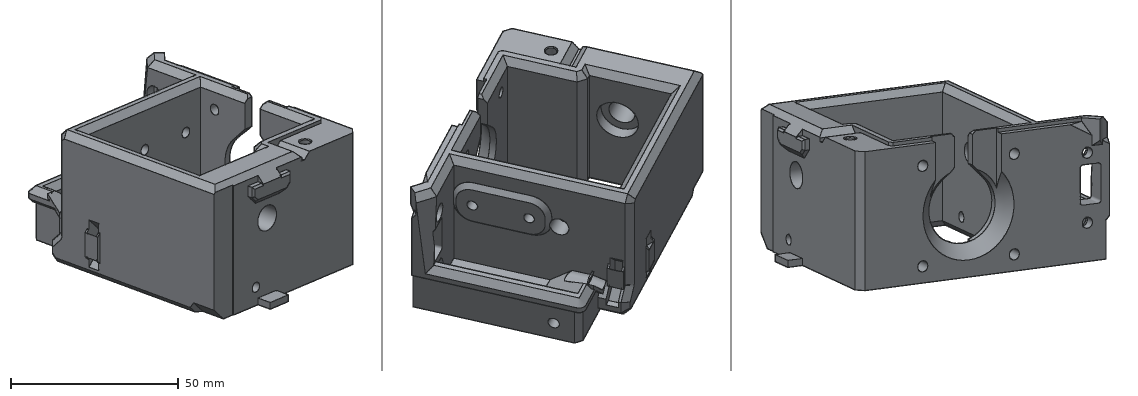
import cadquery as cq
import math

edge = 2.15
side = 85.0
depth = 62.7
height = 44.0
side_bevel = 1.9
ledge_z = 42.9

wall_x = 20.4
open_left = 26.5
open_right = 73.1
open_right_rear = 69.0
open_front = 6.0
open_back = 56.45
step_y = 31.9
step_bevel = 2.5

block_x = 1.2
block_y = 9.5
rim_y = 8.2
rim_bottom = 12.1
rim_top = 17.2
rim_set_back = block_x
corner_bevel = 2.0
rim_corner_radius = 2.2
cavity_x = 6.2
floor_z = 5.5
ramp_foot_y = 26.0
ramp_head_y = 11.4
slope_start_x = 9.0
slope_lip = 1.45

trough_radius = 2.4
trough_left_x = 17.0
trough_flat = 1.5
trough_bend_y = 12.6
trough_fall = 13.0

foot_x = 16.6
foot_depth = 12.0
foot_shoulder = 10.0

motor_x = 47.75
motor_z = 20.7
motor_pitch = 31.0
motor_screw = 3.4
motor_bore = 22.4
motor_recess_y = 59.5
motor_groove_y = 58.1
motor_cone_y = 58.5
motor_slot = 6.2
slot_bevel = 1.0

ledge_y = 60.45
block_left = open_right
ledge_corner = 1.0

notch_top_front = 36.1
notch_floor_front = 38.2
notch_floor_back = 39.4

shaft_y = 23.0
shaft_z = 27.0
shaft_hole = 6.0
bearing_seat = 13.2
bearing_depth = 4.0
bearing_hole = 8.2

overlap = 1.0


def box(x0, x1, y0, y1, z0, z1):
    return cq.Workplane("XY").box(x1 - x0, y1 - y0, z1 - z0, centered=False).translate((x0, y0, z0))


def prism_x(points, x0, x1):
    """Prism along X from (Y, Z) points."""
    return cq.Workplane("YZ").polyline(points).close().extrude(x1 - x0).translate((x0, 0, 0))


def prism_y(points, y0, y1):
    """Prism along Y from (X, Z) points."""
    return cq.Workplane("XZ").polyline(points).close().extrude(y0 - y1).translate((0, y0, 0))


def prism_z(points, z0, z1):
    """Prism along Z from (X, Y) points."""
    return cq.Workplane("XY").polyline(points).close().extrude(z1 - z0).translate((0, 0, z0))


def rod_x(diameter, y, z, x0, x1):
    return cq.Workplane("YZ").center(y, z).circle(diameter / 2).extrude(x1 - x0).translate((x0, 0, 0))


def rod_y(diameter, x, z, y0, y1):
    return cq.Workplane("XZ").center(x, z).circle(diameter / 2).extrude(y0 - y1).translate((0, y0, 0))


def frame_outline(with_foot):
    """(X, Z) outline of the frame; the right end overhangs and is trimmed later."""
    overhang = side + 2 * edge
    right = [(overhang, 0), (overhang, height), (wall_x + edge, height), (wall_x, height - edge)]
    if not with_foot:
        return right + [(wall_x, 0)]
    foot_z = foot_shoulder - (wall_x - foot_x)
    foot = [(wall_x, foot_shoulder), (foot_x, foot_z), (foot_x, edge), (foot_x + edge, 0)]
    return right + foot


def frame():
    body = prism_y(frame_outline(False), foot_depth, depth)
    front = prism_y(frame_outline(True), edge, foot_depth)
    nose = (
        cq.Workplane("XZ", origin=(0, edge, 0))
        .polyline(frame_outline(True)).close().extrude(edge, taper=45)
    )
    trimmed = box(0, side, 0, depth, 0, height)
    body = body.union(front).union(nose).intersect(trimmed)
    return body.cut(top_right_chamfer()).edges("|Z and >X and >Y").chamfer(edge)


def top_right_chamfer():
    """Chamfer along the right side, ending at the groove before the rear block."""
    corner = [(side, height - side_bevel), (side, height), (side - side_bevel, height)]
    return prism_y(corner, 0, notch_floor_front)


def opening_outline(grow):
    """(X, Y) outline of the opening, with every side moved outwards by grow."""
    bevel = step_bevel - (2 - math.sqrt(2)) * grow
    step = step_y + grow
    rear = open_right_rear + grow
    return [
        (open_left - grow, open_front - grow),
        (open_right + grow, open_front - grow),
        (open_right + grow, step),
        (rear + bevel, step),
        (rear, step + bevel),
        (rear, open_back + grow),
        (open_left - grow, open_back + grow),
    ]


def opening_flare(z, lower_grow, upper_grow):
    """Chamfer around one end of the opening."""
    lower = cq.Workplane("XY", origin=(0, 0, z)).polyline(opening_outline(lower_grow)).close()
    upper = lower.workplane(offset=edge).polyline(opening_outline(upper_grow)).close()
    return upper.loft(ruled=True)


def opening():
    shaft = prism_z(opening_outline(0), 0, height)
    top_flare = opening_flare(height - edge, 0, edge)
    bottom_flare = opening_flare(0, edge, 0)
    return shaft.union(top_flare).union(bottom_flare)


deep_chamfer = 4.1
deep_chamfer_x = 75.0
deep_chamfer_run_out = 1.4


def deep_front_chamfer():
    """Cut whose depth is measured square to the bottom front edge."""
    plane = cq.Plane(origin=(0, 0, 0), xDir=(1, 0, 0), normal=(0, -1, 1))
    shallow = edge / math.sqrt(2)
    deep = deep_chamfer / math.sqrt(2)
    outline = [
        (deep_chamfer_x, 0),
        (deep_chamfer_x, shallow),
        (deep_chamfer_x + deep_chamfer_run_out, deep),
        (side, deep),
        (side, 0),
    ]
    return cq.Workplane(plane).polyline(outline).close().extrude(deep_chamfer, both=True)


relief = 0.25


def side_relief():
    return box(side - relief, side, 0, rim_y, 0, height)


def rear_block_notch():
    """Lowers the rear right block and cuts a groove along its front."""
    groove_front_z = height - (notch_floor_front - notch_top_front)
    groove_floor_z = ledge_z - edge
    profile = [
        (notch_top_front, height),
        (notch_floor_front, groove_front_z),
        (notch_floor_front, groove_floor_z),
        (notch_floor_back, groove_floor_z),
        (notch_floor_back + edge, ledge_z),
        (depth, ledge_z),
        (depth, height),
    ]
    return prism_x(profile, block_left, side)


def back_ledge():
    ledge = box(0, side, ledge_y, depth, ledge_z, height)
    corner = [
        (block_left - ledge_corner, ledge_y),
        (block_left, ledge_y),
        (block_left, ledge_y - ledge_corner),
    ]
    return ledge.union(prism_z(corner, ledge_z, height))


def motor_mount():
    half_bore = motor_bore / 2
    bore = rod_y(motor_bore, motor_x, motor_z, open_back, depth)
    roof_run = half_bore / math.sqrt(2)
    roof = [
        (motor_x - roof_run, motor_z + roof_run),
        (motor_x, motor_z + 2 * roof_run),
        (motor_x + roof_run, motor_z + roof_run),
    ]
    bore = bore.union(prism_y(roof, open_back, depth))
    cone = (
        cq.Workplane("XZ", origin=(motor_x, motor_cone_y, motor_z))
        .circle(half_bore).extrude(motor_cone_y - depth, taper=-45)
    )
    recess = box(motor_x - half_bore, motor_x + half_bore, motor_recess_y, depth, motor_z, height)
    half_slot = motor_slot / 2
    groove = box(motor_x - half_slot, motor_x + half_slot, open_back, motor_groove_y, 0, motor_z)
    slot = box(motor_x - half_slot, motor_x + half_slot, open_back, depth, motor_z, height)
    flare = prism_y(
        [
            (motor_x - half_slot, height - slot_bevel),
            (motor_x + half_slot, height - slot_bevel),
            (motor_x + half_slot + slot_bevel, height),
            (motor_x - half_slot - slot_bevel, height),
        ],
        open_back,
        depth,
    )
    cut = bore.union(cone).union(groove).union(recess).union(slot).union(flare)
    for dx in (-motor_pitch / 2, motor_pitch / 2):
        for dz in (-motor_pitch / 2, motor_pitch / 2):
            cut = cut.union(rod_y(motor_screw, motor_x + dx, motor_z + dz, open_back, depth))
    return cut


rib_tip_x = 4.2
rib_tip_y = depth + 1.8
rib_inner_sum = 61.3
rib_sum_low = 58.35
rib_end_x = 2.1
rib_tip_z = 37.4
corner_drop = 7.4
ledge_run_out = 13.3


def back_wall():
    wall = box(0, wall_x + edge, open_back, depth, rim_top - edge, height)
    top = [(open_back, height - edge), (open_back, height), (open_back + edge, height)]
    wall = wall.cut(back_ledge()).cut(corner_slope()).union(rib())
    return wall.cut(prism_x(top, 0, wall_x + edge)).cut(corner_face())


def corner_slope():
    """Slope falling towards the outer back corner, under the rib."""
    rib_x = rib_tip_x + (rib_tip_y - ledge_y)
    a = cq.Vector(rib_x, ledge_y, ledge_z)
    b = cq.Vector(ledge_run_out, depth, ledge_z)
    c = cq.Vector(0, depth, ledge_z - corner_drop)
    normal = (b - a).cross(c - a)
    plane = cq.Plane(origin=a.toTuple(), xDir=(b - a).toTuple(), normal=normal.toTuple())
    above = cq.Workplane(plane).rect(height, height).extrude(height)
    return above.intersect(box(0, ledge_run_out, ledge_y, depth, rim_top, height))


def rib():
    """Diagonal hook across the outer back corner, with a 45 degree underside."""
    outer_sum = rib_tip_x + rib_tip_y
    outline = [
        (rib_tip_x, rib_tip_y),
        (rib_end_x, rib_tip_y - rib_tip_x + rib_end_x),
        (0, rib_inner_sum),
        (0, open_back),
        (outer_sum - open_back, open_back),
    ]
    hook = prism_z(outline, rim_top, height)
    underside = [
        (depth, rib_tip_z - (rib_tip_y - depth)),
        (rib_tip_y, rib_tip_z),
        (rib_tip_y, rim_top),
        (depth, rim_top),
    ]
    return hook.cut(prism_x(underside, 0, outer_sum - depth))


def corner_face():
    """Leaning 45 degree face inside the corner, chamfered at the top like the other walls."""
    front = open_back - overlap

    def triangle(total):
        return [(-overlap, front), (total - front, front), (-overlap, total + overlap)]

    low_z = rim_top - edge
    high_z = height - edge
    lean = (
        cq.Workplane("XY", origin=(0, 0, low_z)).polyline(triangle(rib_sum_low)).close()
        .workplane(offset=high_z - low_z).polyline(triangle(rib_inner_sum)).close().loft(ruled=True)
    )
    top_sum = rib_inner_sum + edge * math.sqrt(2)
    flare = (
        cq.Workplane("XY", origin=(0, 0, high_z)).polyline(triangle(rib_inner_sum)).close()
        .workplane(offset=edge).polyline(triangle(top_sum)).close().loft(ruled=True)
    )
    return lean.union(flare)


def tray():
    block = box(block_x, wall_x, block_y, depth, 0, rim_bottom)
    block = block.edges("|Z and <X and <Y").chamfer(corner_bevel)
    rim = box(0, wall_x, rim_y, depth, rim_bottom, rim_top)
    rim = rim.edges("|Z and <X and <Y").fillet(rim_corner_radius)
    rim = rim.faces("<Z").edges("not (>X or >Y)").chamfer(rim_set_back)
    rim = rim.faces(">Z").edges("not (>X or >Y)").chamfer(edge)
    body = block.union(rim).union(sloped_lip())
    return body.cut(rim_descent()).cut(cavity())


def descent_z(x):
    return rim_top - (x - slope_start_x)


def trough_axis_z():
    """Height at which the trough corner is tangent to the 45 degree rim descent."""
    return descent_z(trough_left_x) + trough_radius * math.sqrt(2)


def sloped_lip():
    """Overhang of the front rim with a 45 degree underside; its top is shaped by later cuts."""
    outline = [
        (slope_start_x, rim_top),
        (wall_x, rim_top),
        (wall_x, descent_z(wall_x) - slope_lip),
        (slope_start_x, rim_top - slope_lip),
    ]
    return prism_y(outline, rim_y, block_y + corner_bevel)


def rim_descent():
    """Cut above the descending rim, ending where the trough rounds out of it."""
    touch_x = trough_left_x - trough_radius / math.sqrt(2)
    outline = [
        (slope_start_x, rim_top),
        (touch_x, descent_z(touch_x)),
        (trough_left_x, trough_axis_z()),
        (wall_x, trough_axis_z()),
        (wall_x, rim_top),
    ]
    return prism_y(outline, rim_y, ramp_foot_y)


def cavity():
    """Hollow with a flat floor, a ramp at the front and a chamfer along the left rim."""
    side_profile = [
        (open_back, floor_z),
        (ramp_foot_y, floor_z),
        (ramp_head_y, rim_top),
        (open_back, rim_top),
    ]
    cross_profile = [
        (cavity_x, floor_z),
        (cavity_x, rim_top - edge),
        (cavity_x - edge, rim_top),
        (wall_x, rim_top),
        (wall_x, floor_z),
    ]
    return prism_x(side_profile, 0, wall_x).intersect(prism_y(cross_profile, 0, depth))


def wire_trough():
    """Round-cornered channel over the front rim, dipping at its outer end."""
    width = trough_flat + 2 * trough_radius
    middle_x = trough_left_x + trough_flat / 2
    bottom_z = trough_axis_z() - trough_radius

    def stretch(y0, y1):
        section = cq.Workplane("XZ", origin=(middle_x, y0, trough_axis_z()))
        return section.slot2D(width, 2 * trough_radius).extrude(y0 - y1)

    pivot = (middle_x, trough_bend_y, bottom_z)
    pivot_end = (middle_x + overlap, trough_bend_y, bottom_z)
    outer = stretch(rim_y - overlap, trough_bend_y).rotate(pivot, pivot_end, trough_fall)
    over_rim = [(slope_start_x, rim_top), (wall_x, descent_z(wall_x)), (wall_x, rim_top)]
    return stretch(trough_bend_y, ramp_foot_y).union(outer).intersect(prism_y(over_rim, 0, depth))


bar_width = 5.2
bar_rise = 1.0
tie_width = 3.9
tie_depth = 4.2
tie_exit = 1.6
bar_core = 1.5
tie_pocket_z = 4.0
left_tie_y = 4.95
front_tie_x = 35.5


def across(plane, points, width):
    """Prism of the given width, centred on the plane, from (inward, up) points."""
    return cq.Workplane(plane).polyline(points).close().extrude(width / 2, both=True)


def tie_anchor(body, plane, slot_top, bar_top, bar_foot, exit_top, exit_bottom):
    """Raised bar with a cable tie passage behind it.

    exit_top and exit_bottom are the heights of the lower passage walls at the wall surface;
    both of these walls run at 45 degrees.
    """
    bar = [
        (0, bar_top + bar_rise),
        (-bar_rise, bar_top),
        (-bar_rise, bar_foot),
        (0, bar_foot - bar_rise),
        (tie_depth, bar_foot - bar_rise),
        (tie_depth, bar_top + bar_rise),
    ]
    upper = [
        (0, slot_top),
        (tie_depth, slot_top - tie_depth),
        (tie_depth, bar_top - bar_rise - tie_depth),
        (-bar_rise, bar_top),
        (-bar_rise, slot_top),
    ]
    lower = [
        (-tie_exit, exit_bottom - tie_exit),
        (tie_depth, exit_bottom + tie_depth),
        (tie_depth, exit_top + tie_depth),
        (-tie_exit, exit_top - tie_exit),
    ]
    middle = [
        (bar_core, bar_top - bar_rise - bar_core),
        (tie_depth, slot_top - tie_depth),
        (tie_depth, exit_bottom + tie_depth),
        (bar_core, exit_top + bar_core),
    ]
    body = body.union(across(plane, bar, bar_width))
    for passage in (upper, lower, middle):
        body = body.cut(across(plane, passage, tie_width))
    return body


def foot_tie_pocket():
    """Flat-floored pocket in the foot, where the left passage comes out."""
    half = tie_width / 2
    pocket_x = wall_x - tie_exit
    pocket_top = foot_shoulder - tie_exit
    return box(foot_x, pocket_x, left_tie_y - half, left_tie_y + half, tie_pocket_z, pocket_top)


pad_y = 41.05
pad_z = 29.1
pad_length = 31.3
pad_height = 15.2
pad_radius = 6.6
pad_rise = 1.6
pad_bevel = 1.55
pad_hole = 3.35
pad_hole_pitch = 18.0


def pad():
    plate = (
        cq.Workplane("YZ", origin=(wall_x, pad_y, pad_z))
        .rect(pad_length, pad_height).extrude(-pad_rise)
    )
    return plate.edges("|X").fillet(pad_radius).faces("<X").edges().chamfer(pad_bevel)


tab_width = 8.0
tab_end = 90.0
tab_thickness = 2.2
boss_half = 8.4
boss_top = 40.1
boss_bottom = 33.4
boss_end = 87.2
boss_bevel = 3.3
boss_edge = 0.65


def right_side_boss():
    """Tab at the base, and a bevelled boss blended into the top chamfer."""
    tab = box(side - overlap, tab_end, shaft_y - tab_width / 2, shaft_y + tab_width / 2, 0, tab_thickness)
    boss = box(side - overlap, boss_end, shaft_y - boss_half, shaft_y + boss_half, boss_bottom, boss_top)
    boss = boss.edges("|X and <Z").chamfer(boss_bevel)
    boss = boss.faces(">X").edges("not <Z").chamfer(boss_edge)
    rise = boss_end - side
    slope = [(side, boss_bottom), (boss_end, boss_bottom + rise), (boss_end, boss_bottom)]
    boss = boss.cut(prism_y(slope, 0, depth))
    chamfer_z = height - side_bevel
    blend = [
        (side - overlap, chamfer_z),
        (side, chamfer_z),
        (boss_end, chamfer_z - rise),
        (boss_end, boss_bottom + rise),
        (side, boss_bottom),
        (side - overlap, boss_bottom),
    ]
    blend = prism_y(blend, shaft_y - tab_width / 2, shaft_y + tab_width / 2)
    return tab.union(boss).union(blend)


bed_hole_y = 18.1
bed_hole_z = 6.0
bed_hole = 3.2
bed_hole_entry = 3.6
top_hole_x = 79.0
top_hole_y = 46.1
top_hole = 3.4
top_hole_bevel = 0.3
top_hole_depth = 12.0
window_x = (2.9, 9.9)
window_z = (17.6, 30.0)
window_radius = 0.9
screw_x = 7.5
screw_heights = (12.0, 33.6)
screw_hole = 3.4
screw_head = 5.8
screw_head_depth = 3.0


def side_wall_holes():
    holes = rod_x(shaft_hole, shaft_y, shaft_z, 0, open_left)
    holes = holes.union(rod_x(bearing_seat, shaft_y, shaft_z, open_right, open_right + bearing_depth))
    holes = holes.union(rod_x(bearing_hole, shaft_y, shaft_z, open_right, side))
    holes = holes.union(rod_x(bed_hole, bed_hole_y, bed_hole_z, 0, tab_end))
    holes = holes.union(rod_x(bed_hole_entry, bed_hole_y, bed_hole_z, 0, cavity_x))
    for dy in (-pad_hole_pitch / 2, pad_hole_pitch / 2):
        holes = holes.union(rod_x(pad_hole, pad_y + dy, pad_z, wall_x - pad_rise, open_left))
    return holes


def back_wall_holes():
    window = box(*window_x, open_back, depth, *window_z).edges("|Y").fillet(window_radius)
    for z in screw_heights:
        window = window.union(rod_y(screw_hole, screw_x, z, open_back, depth))
        window = window.union(rod_y(screw_head, screw_x, z, open_back, open_back + screw_head_depth))
    return window


def top_hole_cut():
    mouth = cq.Workplane("XY", origin=(top_hole_x, top_hole_y, ledge_z))
    countersink = mouth.circle(top_hole / 2 + top_hole_bevel).extrude(-top_hole_bevel, taper=45)
    return mouth.circle(top_hole / 2).extrude(-top_hole_depth).union(countersink)


result = frame().cut(opening()).cut(back_ledge()).cut(rear_block_notch())
result = result.cut(deep_front_chamfer()).cut(side_relief()).cut(motor_mount())
result = result.union(back_wall()).union(tray()).union(pad()).union(right_side_boss())
result = result.cut(wire_trough())
front_plane = cq.Plane(origin=(front_tie_x, 0, 0), xDir=(0, 1, 0), normal=(1, 0, 0))
left_plane = cq.Plane(origin=(wall_x, left_tie_y, 0), xDir=(1, 0, 0), normal=(0, -1, 0))
result = tie_anchor(
    result, front_plane, slot_top=18.5, bar_top=14.5, bar_foot=6.6, exit_top=7.6, exit_bottom=3.1
)
result = tie_anchor(
    result, left_plane, slot_top=19.4, bar_top=15.9, bar_foot=8.4, exit_top=10.0,
    exit_bottom=tie_pocket_z + tie_exit,
)
result = result.cut(foot_tie_pocket())
result = result.cut(side_wall_holes()).cut(back_wall_holes()).cut(top_hole_cut())